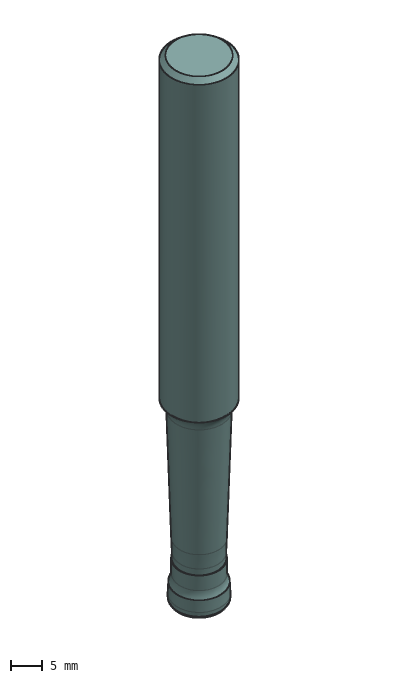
import cadquery as cq

total_length = 111.1
seat_z = 8.5
neck_cylinder_top = 9.8
taper_bottom = 12.8
taper_top = 38.9
shank_bottom = 41.2

shank_radius = 12.7 / 2
neck_radius = 4.3
taper_bottom_radius = 4.5
taper_top_radius = 5.2
shoulder_radius = 5.9

top_chamfer_width = 1.0
top_chamfer_height = 0.9
shoulder_chamfer_height = 0.3

stem_radius = 4.5
stem_bottom = 5.5
rim_radius = 5.0
rim_taper_top = 3.8
rim_taper_bottom = 1.5
rim_taper_top_radius = 4.9
flare_bow = 0.1
end_chamfer_width = 0.3
end_chamfer_height = 0.6


def revolve_profile(profile):
    """Turn a closed radius/height outline about the Z axis."""
    return profile.close().revolve(360, (0, 0, 0), (0, 1, 0))


def make_holder():
    """Cylindrical shank with a tapered neck below it."""
    fillet_bottom = (taper_top_radius, taper_top)
    fillet_top = (shoulder_radius, shank_bottom - shoulder_chamfer_height)
    profile = (
        cq.Workplane("XZ")
        .moveTo(0, seat_z)
        .lineTo(neck_radius, seat_z)
        .lineTo(neck_radius, neck_cylinder_top)
        .lineTo(taper_bottom_radius, taper_bottom)
        .lineTo(*fillet_bottom)
        .tangentArcPoint(fillet_top, relative=False)
        .lineTo(shank_radius, shank_bottom)
        .lineTo(shank_radius, total_length - top_chamfer_height)
        .lineTo(shank_radius - top_chamfer_width, total_length)
        .lineTo(0, total_length)
    )
    return revolve_profile(profile)


def make_head():
    """Short stem flaring out to a slightly tapered rim with a chamfered end."""
    flare_middle = (
        (stem_radius + rim_taper_top_radius) / 2 - flare_bow,
        (stem_bottom + rim_taper_top) / 2,
    )
    profile = (
        cq.Workplane("XZ")
        .lineTo(rim_radius - end_chamfer_width, 0)
        .lineTo(rim_radius, end_chamfer_height)
        .lineTo(rim_radius, rim_taper_bottom)
        .lineTo(rim_taper_top_radius, rim_taper_top)
        .threePointArc(flare_middle, (stem_radius, stem_bottom))
        .lineTo(stem_radius, seat_z)
        .lineTo(0, seat_z)
    )
    return revolve_profile(profile)


holder = make_holder()
head = make_head()
result = cq.Compound.makeCompound([holder.val(), head.val()])